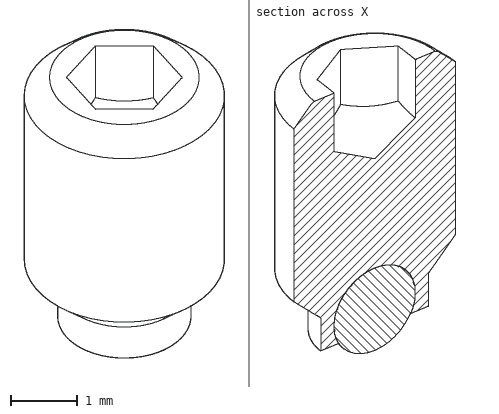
import cadquery as cq
import math

body_radius = 1.5
nose_radius = 1.0
total_height = 5.0
ball_radius = 0.75
ball_protrusion = 0.4
nose_length = 0.6
top_face_radius = 1.12
rim_radius = 1.185
edge_break_height = 0.035
hex_across_flats = 1.5
hex_depth = 1.0
drill_point_angle = 120.0

nose_bottom = ball_protrusion
nose_top = nose_bottom + nose_length
shoulder_top = nose_top + (body_radius - nose_radius)
rim_height = total_height - edge_break_height
chamfer_bottom = rim_height - (body_radius - rim_radius)
hex_across_corners = hex_across_flats / math.cos(math.radians(30))
hex_floor = total_height - hex_depth
cone_radius = hex_across_corners / 2
cone_depth = cone_radius / math.tan(math.radians(drill_point_angle / 2))


def make_ball():
    """Full ball whose lowest point lies at Z = 0."""
    return cq.Workplane("XY").sphere(ball_radius).translate((0, 0, ball_radius))


def make_turned_blank():
    """Revolved sleeve with a narrow nose, a conical shoulder and a two-step top chamfer."""
    return (
        cq.Workplane("XZ")
        .moveTo(0, nose_bottom)
        .lineTo(nose_radius, nose_bottom)
        .lineTo(nose_radius, nose_top)
        .lineTo(body_radius, shoulder_top)
        .lineTo(body_radius, chamfer_bottom)
        .lineTo(rim_radius, rim_height)
        .lineTo(top_face_radius, total_height)
        .lineTo(0, total_height)
        .close()
        .revolve(360, (0, 0, 0), (0, 1, 0))
    )


def make_hex_socket():
    """Hexagonal key socket with corners on the X axis and a conical drill point below."""
    hexagon = (
        cq.Workplane("XY", origin=(0, 0, hex_floor))
        .polygon(6, hex_across_corners)
        .extrude(hex_depth)
    )
    drill_point = (
        cq.Workplane("XZ")
        .moveTo(0, hex_floor)
        .lineTo(cone_radius, hex_floor)
        .lineTo(0, hex_floor - cone_depth)
        .close()
        .revolve(360, (0, 0, 0), (0, 1, 0))
    )
    hex_column = (
        cq.Workplane("XY", origin=(0, 0, hex_floor - cone_depth))
        .polygon(6, hex_across_corners)
        .extrude(cone_depth)
    )
    return hexagon.union(drill_point.intersect(hex_column))


def make_housing(ball):
    """Sleeve with the key socket on top and a fitted seat for the ball in the nose."""
    return make_turned_blank().cut(make_hex_socket()).cut(ball)


ball = make_ball()
housing = make_housing(ball)
result = cq.Compound.makeCompound([housing.val(), ball.val()])